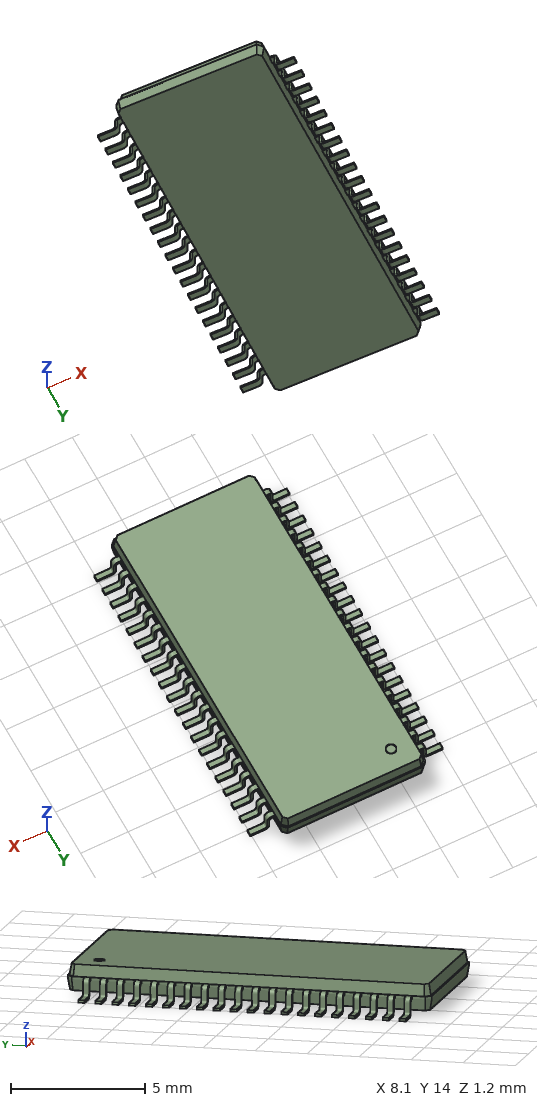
import cadquery as cq
import math

SPAN_X = 8.1
BODY_X = 6.1
BODY_Y = 14.0
TOP_Z = 1.2
STANDOFF = 0.2

BODY_HEIGHT = TOP_Z - STANDOFF
BAND_HEIGHT = 0.1
PARTING_Z = STANDOFF + BODY_HEIGHT / 2
DRAFT_ANGLE = 10.0
LEDGE_WIDTH = 0.05
CORNER_CHAMFER = 0.2

MARK_DIAMETER = 0.4
MARK_DEPTH = 0.05
MARK_X = -2.03
MARK_Y = 5.99

LEADS_PER_SIDE = 20
LEAD_PITCH = 0.65
LEAD_WIDTH = 0.24
LEAD_THICKNESS = BAND_HEIGHT
LEAD_TOP_Z = PARTING_Z + BAND_HEIGHT / 2
FOOT_LENGTH = 0.705
INNER_RADIUS = 0.1
OUTER_RADIUS = INNER_RADIUS + LEAD_THICKNESS
LEAD_EMBED = 0.2


def body_outline(z, setback=0):
    """Rectangle with chamfered corners at height z, its sides moved in by the setback."""
    half_x = BODY_X / 2 - setback
    half_y = BODY_Y / 2 - setback
    inner_x = half_x - CORNER_CHAMFER
    inner_y = half_y - CORNER_CHAMFER
    corners = [
        (half_x, inner_y), (inner_x, half_y),
        (-inner_x, half_y), (-half_x, inner_y),
        (-half_x, -inner_y), (-inner_x, -half_y),
        (inner_x, -half_y), (half_x, -inner_y),
    ]
    return cq.Workplane("XY", origin=(0, 0, z)).polyline(corners).close()


def make_body():
    """Straight band with a drafted half below it and a set-back drafted half above."""
    half_height = (BODY_HEIGHT - BAND_HEIGHT) / 2
    band_bottom = PARTING_Z - BAND_HEIGHT / 2
    band_top = PARTING_Z + BAND_HEIGHT / 2
    band = body_outline(band_bottom).extrude(BAND_HEIGHT)
    lower = body_outline(band_bottom).extrude(-half_height, taper=DRAFT_ANGLE)
    upper = body_outline(band_top, LEDGE_WIDTH).extrude(half_height, taper=DRAFT_ANGLE)
    return band.union(lower).union(upper)


def make_pin_mark():
    """Shallow round recess in the top face beside pin 1."""
    return (
        cq.Workplane("XY", origin=(MARK_X, MARK_Y, TOP_Z - MARK_DEPTH))
        .circle(MARK_DIAMETER / 2)
        .extrude(MARK_DEPTH)
    )


def make_lead():
    """One lead on the +X side, centred on Y = 0, with its foot on Z = 0."""
    tip_x = SPAN_X / 2
    outer_x = tip_x - FOOT_LENGTH
    inner_x = outer_x - LEAD_THICKNESS
    root_x = BODY_X / 2 - LEAD_EMBED
    foot_bend_x = outer_x + INNER_RADIUS
    shoulder_bend_x = inner_x - INNER_RADIUS
    foot_bend_z = OUTER_RADIUS
    shoulder_bend_z = LEAD_TOP_Z - OUTER_RADIUS

    def on_bend(center_x, center_z, radius, degrees):
        angle = math.radians(degrees)
        return (center_x + radius * math.cos(angle), center_z + radius * math.sin(angle))

    def on_foot_bend(radius):
        return on_bend(foot_bend_x, foot_bend_z, radius, 225)

    def on_shoulder_bend(radius):
        return on_bend(shoulder_bend_x, shoulder_bend_z, radius, 45)

    profile = (
        cq.Workplane("XZ", origin=(0, LEAD_WIDTH / 2, 0))
        .moveTo(tip_x, 0)
        .lineTo(tip_x, LEAD_THICKNESS)
        .lineTo(foot_bend_x, LEAD_THICKNESS)
        .threePointArc(on_foot_bend(INNER_RADIUS), (outer_x, foot_bend_z))
        .lineTo(outer_x, shoulder_bend_z)
        .threePointArc(on_shoulder_bend(OUTER_RADIUS), (shoulder_bend_x, LEAD_TOP_Z))
        .lineTo(root_x, LEAD_TOP_Z)
        .lineTo(root_x, LEAD_TOP_Z - LEAD_THICKNESS)
        .lineTo(shoulder_bend_x, LEAD_TOP_Z - LEAD_THICKNESS)
        .threePointArc(on_shoulder_bend(INNER_RADIUS), (inner_x, shoulder_bend_z))
        .lineTo(inner_x, foot_bend_z)
        .threePointArc(on_foot_bend(OUTER_RADIUS), (foot_bend_x, 0))
        .close()
    )
    return profile.extrude(LEAD_WIDTH)


def add_leads(body):
    """Join a row of leads to each long side of the body."""
    right_lead = make_lead()
    left_lead = right_lead.mirror("YZ")
    first_y = -LEAD_PITCH * (LEADS_PER_SIDE - 1) / 2
    for index in range(LEADS_PER_SIDE):
        offset = (0, first_y + index * LEAD_PITCH, 0)
        body = body.union(right_lead.translate(offset))
        body = body.union(left_lead.translate(offset))
    return body


result = add_leads(make_body().cut(make_pin_mark()))